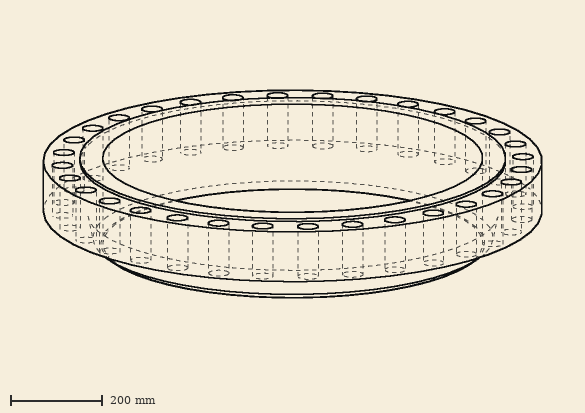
import cadquery as cq
import math

total_height = 193.0
outer_diameter = 1086.0
bore_diameter = 827.0

face_diameter = 927.0
face_height = 7.0

plate_thickness = 113.0
bolt_count = 32
bolt_circle_diameter = 1004.0
bolt_hole_diameter = 45.0

neck_root_diameter = 896.0
neck_end_diameter = 871.0
root_fillet = 10.0
bevel_height = 13.0
weld_land = 4.0

plate_top = total_height - face_height
plate_bottom = plate_top - plate_thickness


def flange_body():
    """Revolve half of the cross-section about Z."""
    bore_radius = bore_diameter / 2
    outer_radius = outer_diameter / 2
    face_radius = face_diameter / 2
    root_radius = neck_root_diameter / 2

    neck_taper = math.atan2(root_radius - neck_end_diameter / 2, plate_bottom - bevel_height)
    tangent_length = root_fillet * math.tan((math.pi / 2 - neck_taper) / 2)
    fillet_start = (
        root_radius - tangent_length * math.sin(neck_taper),
        plate_bottom - tangent_length * math.cos(neck_taper),
    )
    fillet_end = (root_radius + tangent_length, plate_bottom)

    section = (
        cq.Workplane("XZ")
        .moveTo(bore_radius, 0)
        .lineTo(bore_radius + weld_land, 0)
        .lineTo(neck_end_diameter / 2, bevel_height)
        .lineTo(*fillet_start)
        .tangentArcPoint(fillet_end, relative=False)
        .lineTo(outer_radius, plate_bottom)
        .lineTo(outer_radius, plate_top)
        .lineTo(face_radius, plate_top)
        .lineTo(face_radius, total_height)
        .lineTo(bore_radius, total_height)
        .close()
    )
    return section.revolve(360, (0, 0, 0), (0, 1, 0))


def bolt_holes():
    """Drills on the bolt circle, the first one on the +X axis."""
    return (
        cq.Workplane("XY")
        .polarArray(bolt_circle_diameter / 2, 0, 360, bolt_count)
        .circle(bolt_hole_diameter / 2)
        .extrude(total_height)
    )


result = flange_body().cut(bolt_holes())